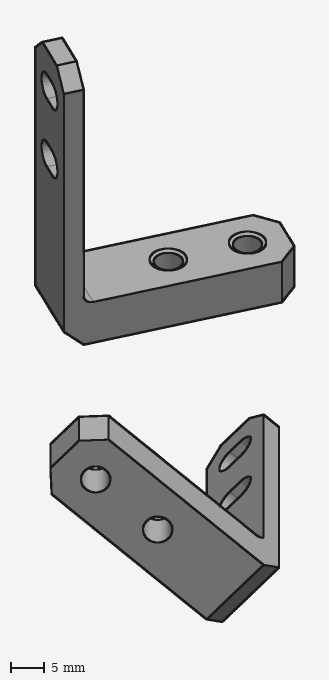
import cadquery as cq

width = 12.7
foot_length = 38.1
height = 50.8
leg_thickness = 3.2
foot_thickness = 7.6
corner_chamfer = 3.15
heel_chamfer = 3.2
inner_radius = 1.5

hole_pitch = 12.7
slot_length = 7.0
slot_height = 4.55
slot_end_distance = 6.95
hole_diameter = 4.4
countersink_diameter = 5.65
countersink_angle = 118.0
hole_end_distance = 6.35


def l_profile():
    """L-shaped side profile extruded symmetrically across the width."""
    return (
        cq.Workplane("YZ")
        .polyline([
            (heel_chamfer, 0),
            (foot_length, 0),
            (foot_length, foot_thickness),
            (leg_thickness, foot_thickness),
            (leg_thickness, height),
            (0, height),
            (0, heel_chamfer),
        ])
        .close()
        .extrude(width / 2, both=True)
    )


def round_inner_corner(body):
    corner = cq.NearestToPointSelector((0, leg_thickness, foot_thickness))
    return body.edges(corner).fillet(inner_radius)


def chamfer_free_ends(body):
    """Cut the two outer corners of the leg top and of the foot end."""
    body = body.faces(">Z").edges("|Y").chamfer(corner_chamfer)
    return body.faces(">Y").edges("|Z").chamfer(corner_chamfer)


def cut_leg_slots(body):
    top_slot_z = height - slot_end_distance
    slots = (
        cq.Workplane("XZ")
        .pushPoints([(0, top_slot_z), (0, top_slot_z - hole_pitch)])
        .slot2D(slot_length, slot_height)
        .extrude(-leg_thickness)
    )
    return body.cut(slots)


def cut_foot_holes(body):
    outer_hole_y = foot_length - hole_end_distance
    return (
        body.copyWorkplane(cq.Workplane("XY", origin=(0, 0, foot_thickness)))
        .pushPoints([(0, outer_hole_y), (0, outer_hole_y - hole_pitch)])
        .cskHole(hole_diameter, countersink_diameter, countersink_angle)
    )


bracket = round_inner_corner(l_profile())
bracket = chamfer_free_ends(bracket)
bracket = cut_leg_slots(bracket)
result = cut_foot_holes(bracket)